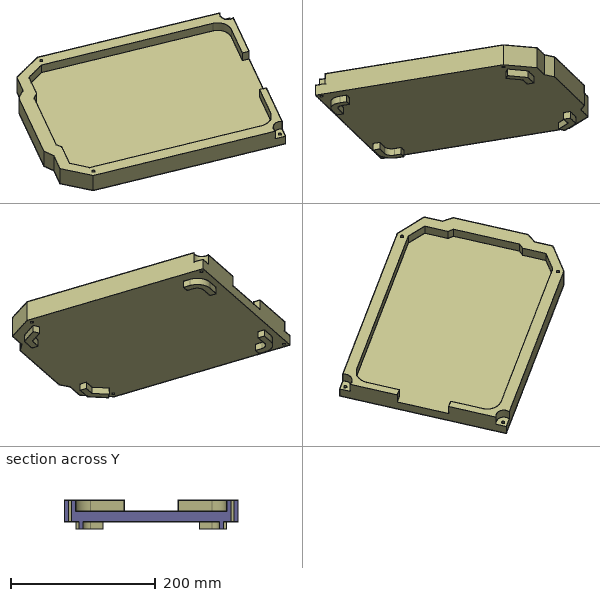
import cadquery as cq
import math

half_width = 240.0 / 2
length = 330.0
total_height = 40.0
foot_height = 10.0
body_height = total_height - foot_height

corner_y = 49.5
shoulder_y = 10.2
shoulder_outer_x = 92.7
shoulder_inner_x = 66.3
nose_x = 53.8

pocket_depth = body_height / 2
pocket_half_width = 104.0
pocket_corner_y = 49.8
pocket_shoulder_y = 26.0
pocket_shoulder_x = 87.0
pocket_nose_outer_x = 53.8
pocket_nose_x = 47.5
pocket_nose_y = 20.0
pocket_back_y = length - 10.0
pocket_radius = 20.0
opening_width = 74.0

notch_inset = 5.0
notch_radius = 11.0
notch_depth = body_height / 2

hole_diameter = 4.0
back_hole_x = 113.5
back_hole_y = length - 6.3
front_hole_x = 112.2
front_hole_y = 52.5

foot_width = 10.0
foot_inner_x = shoulder_inner_x
back_foot_end_y = length - 40.3


def symmetric_prism(right_half, base_z, height):
    """Extrude an outline given by its +X half, mirrored across X = 0."""
    left_half = [(-x, y) for x, y in reversed(right_half)]
    plane = cq.Workplane("XY").workplane(offset=base_z)
    return plane.polyline(right_half + left_half).close().extrude(height)


def make_body():
    return symmetric_prism(
        [
            (nose_x, 0),
            (shoulder_inner_x, shoulder_y),
            (shoulder_outer_x, shoulder_y),
            (half_width, corner_y),
            (half_width, length),
        ],
        foot_height,
        body_height,
    )


def make_pocket():
    floor_z = total_height - pocket_depth
    pocket = symmetric_prism(
        [
            (pocket_nose_x, pocket_nose_y),
            (pocket_nose_outer_x, pocket_shoulder_y),
            (pocket_shoulder_x, pocket_shoulder_y),
            (pocket_half_width, pocket_corner_y),
            (pocket_half_width, pocket_back_y),
        ],
        floor_z,
        pocket_depth,
    )
    pocket = pocket.edges("|Z and >Y").fillet(pocket_radius)
    opening_start_y = pocket_back_y - pocket_radius
    opening = cq.Workplane("XY").box(
        opening_width, length - opening_start_y, pocket_depth, centered=(True, False, False)
    )
    return pocket.union(opening.translate((0, opening_start_y, floor_z)))


def make_notches():
    notch_x = half_width - notch_inset
    notch_y = length - notch_inset
    plane = cq.Workplane("XY").workplane(offset=total_height - notch_depth)
    return plane.pushPoints([(-notch_x, notch_y), (notch_x, notch_y)]).circle(notch_radius).extrude(notch_depth)


def make_holes():
    centers = [
        (side * x, y)
        for side in (-1, 1)
        for x, y in ((back_hole_x, back_hole_y), (front_hole_x, front_hole_y))
    ]
    return cq.Workplane("XY").pushPoints(centers).circle(hole_diameter / 2).extrude(total_height)


def make_front_foot():
    """Bent band along the right front pocket corner, square at both ends."""
    angle = math.atan2(pocket_corner_y - pocket_shoulder_y, pocket_half_width - pocket_shoulder_x)
    inner_bend_x = pocket_shoulder_x - foot_width * math.tan(angle / 2)
    inner_y = pocket_shoulder_y + foot_width
    inner_end = (
        pocket_half_width - foot_width * math.sin(angle),
        pocket_corner_y + foot_width * math.cos(angle),
    )
    outline = [
        (foot_inner_x, pocket_shoulder_y),
        (pocket_shoulder_x, pocket_shoulder_y),
        (pocket_half_width, pocket_corner_y),
        inner_end,
        (inner_bend_x, inner_y),
        (foot_inner_x, inner_y),
    ]
    return cq.Workplane("XY").polyline(outline).close().extrude(foot_height)


def make_back_foot():
    """Band around the right back pocket corner, with concentric rounds."""
    arc_x = pocket_half_width - pocket_radius
    arc_y = pocket_back_y - pocket_radius
    inner_radius = pocket_radius - foot_width
    return (
        cq.Workplane("XY")
        .moveTo(pocket_half_width, back_foot_end_y)
        .lineTo(pocket_half_width, arc_y)
        .radiusArc((arc_x, pocket_back_y), -pocket_radius)
        .lineTo(foot_inner_x, pocket_back_y)
        .lineTo(foot_inner_x, pocket_back_y - foot_width)
        .lineTo(arc_x, pocket_back_y - foot_width)
        .radiusArc((arc_x + inner_radius, arc_y), inner_radius)
        .lineTo(arc_x + inner_radius, back_foot_end_y)
        .close()
        .extrude(foot_height)
    )


result = make_body().cut(make_pocket()).cut(make_notches()).cut(make_holes())
for foot in (make_front_foot(), make_back_foot()):
    result = result.union(foot).union(foot.mirror("YZ"))